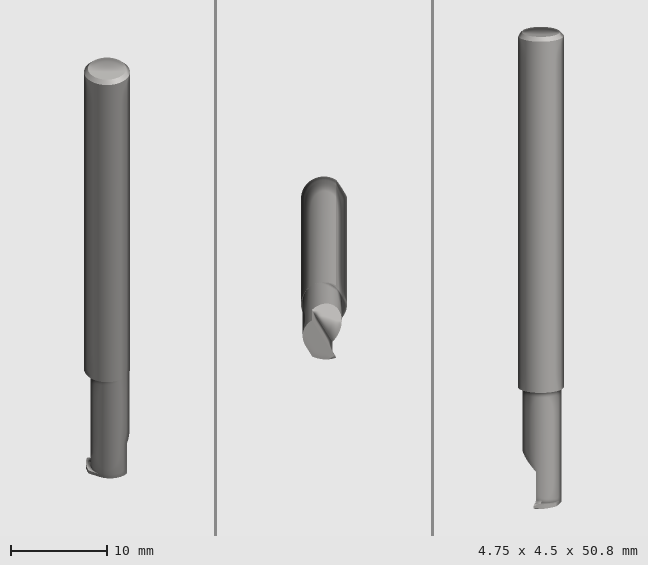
import cadquery as cq
import math

total_length = 50.8
shank_diameter = 4.75
shank_radius = shank_diameter / 2
shank_width = 4.5
shank_flat_y = shank_width - shank_radius
shank_chamfer = 0.4

neck_length = 12.6
neck_diameter = 4.05
neck_radius = neck_diameter / 2
neck_center_x = shank_radius - neck_radius

rake_face_height = 3.9

tooth_tip_x = -shank_radius
tooth_top = 0.55
tooth_tip_chamfer = 0.15
tooth_back_left_x = -1.0
tooth_back_right_x = 0.45
tooth_flank_x = -1.9
tooth_flank_y = -1.1
root_fillet_radius = 0.3
root_fillet_depth = 0.6
tip_low_x = -2.1
end_rise = 0.15


def make_shank():
    shank = (
        cq.Workplane("XY")
        .workplane(offset=neck_length)
        .circle(shank_radius)
        .extrude(total_length - neck_length)
        .faces(">Z")
        .chamfer(shank_chamfer)
    )
    flat_cutter = (
        cq.Workplane("XY")
        .workplane(offset=neck_length)
        .center(0, shank_flat_y)
        .rect(shank_diameter, shank_diameter, centered=(True, False))
        .extrude(total_length - neck_length)
    )
    return shank.cut(flat_cutter)


def make_neck():
    return cq.Workplane("XY").center(neck_center_x, 0).circle(neck_radius).extrude(neck_length)


def make_tooth():
    body = (
        cq.Workplane("XY")
        .moveTo(tooth_back_right_x, 0)
        .lineTo(tooth_tip_x, 0)
        .threePointArc((tooth_flank_x, tooth_flank_y), (tooth_back_left_x, -neck_radius))
        .lineTo(tooth_back_right_x, -neck_radius)
        .close()
        .extrude(tooth_top)
    )
    bevel = (
        cq.Workplane("XZ")
        .polyline([
            (tooth_tip_x, tooth_top),
            (tooth_tip_x + tooth_tip_chamfer, tooth_top),
            (tooth_tip_x, tooth_top - tooth_tip_chamfer),
        ])
        .close()
        .extrude(neck_radius)
    )
    return body.cut(bevel)


def make_root_fillet():
    root_x = neck_center_x - neck_radius
    outer_x = root_x - root_fillet_radius
    inner_x = neck_center_x
    upper_z = tooth_top + root_fillet_radius
    diagonal = root_fillet_radius * math.sqrt(0.5)
    return (
        cq.Workplane("XZ")
        .moveTo(inner_x, tooth_top)
        .lineTo(outer_x, tooth_top)
        .threePointArc((outer_x + diagonal, upper_z - diagonal), (root_x, upper_z))
        .lineTo(inner_x, upper_z)
        .close()
        .extrude(root_fillet_depth)
    )


def make_half_cutter():
    runout = shank_radius
    return (
        cq.Workplane("YZ")
        .polyline([
            (0, 0),
            (0, rake_face_height),
            (runout, rake_face_height + runout),
            (runout, 0),
        ])
        .close()
        .extrude(shank_radius, both=True)
    )


def make_end_cutter():
    def profile(y, rise):
        return cq.Wire.makePolygon(
            [
                cq.Vector(tooth_tip_x, y, -shank_diameter),
                cq.Vector(tooth_tip_x, y, end_rise + rise),
                cq.Vector(tip_low_x, y, rise),
                cq.Vector(shank_radius, y, end_rise + rise),
                cq.Vector(shank_radius, y, -shank_diameter),
            ],
            close=True,
        )

    return cq.Solid.makeLoft([profile(0, 0), profile(-shank_radius, end_rise)], True)


result = (
    make_shank()
    .union(make_neck())
    .union(make_tooth())
    .union(make_root_fillet())
    .cut(make_half_cutter())
    .cut(cq.Workplane(make_end_cutter()))
)